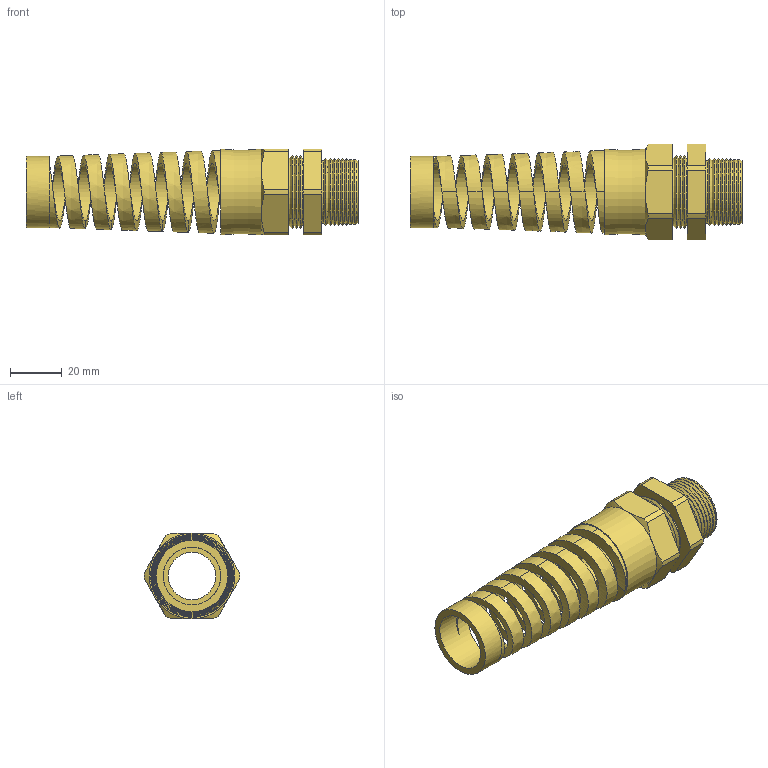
import cadquery as cq
import math


ring_end = 9.0
spiral_end = 75.0
nut_start = 90.7
nut_end = 101.2
locknut_start = 107.0
locknut_length = 7.0
locknut_end = locknut_start + locknut_length
total_length = 128.02

spiral_bore_radius = 11.1
ring_radius = 13.75
spiral_end_radius = 16.0
spiral_pitch = 9.92
slot_width = 4.35
slot_start = 5.2
slot_turns = 8
slot_overlap = 2.0

sleeve_radius = 16.5
sleeve_waist_radius = 16.15
hex_flats = 33.02
hex_corner_diameter = 37.0
nut_chamfer_angle = 30.0

bore_radius = 9.15
thread_pitch = 1.59
inner_crest_radius = 14.1
inner_root_radius = 13.1
inner_first_crest = 102.6
inner_crest_count = 3
inner_taper = 0
outer_crest_radius = 13.0
outer_root_radius = 12.1
outer_first_crest = 115.65
outer_crest_count = 8
outer_taper = 1 / 32


def cylinder(start, end, radius):
    return cq.Workplane("YZ").workplane(offset=start).circle(radius).extrude(end - start)


def revolve(profile):
    """Turn a closed half outline, drawn in the XZ plane, about the X axis."""
    return profile.revolve(360, (0, 0, 0), (1, 0, 0))


def make_spiral():
    """Tapered tube with one continuous helical slot."""
    tube = revolve(
        cq.Workplane("XZ")
        .moveTo(ring_end, spiral_bore_radius)
        .lineTo(ring_end, ring_radius)
        .lineTo(spiral_end, spiral_end_radius)
        .lineTo(spiral_end, spiral_bore_radius)
        .close()
    )
    cutter_inner = spiral_bore_radius - slot_overlap
    cutter_outer = spiral_end_radius + slot_overlap
    mean_radius = (cutter_inner + cutter_outer) / 2
    path = cq.Wire.makeHelix(spiral_pitch, spiral_pitch, mean_radius)
    one_turn = (
        cq.Workplane("XZ")
        .center(mean_radius, 0)
        .rect(cutter_outer - cutter_inner, slot_width)
        .sweep(cq.Workplane(path), isFrenet=True)
        .rotate((0, 0, 0), (0, 1, 0), 90)
    )
    for turn in range(slot_turns):
        tube = tube.cut(one_turn.translate((slot_start + turn * spiral_pitch, 0, 0)))
    return tube


def make_ring():
    return cylinder(0, ring_end, ring_radius).cut(cylinder(0, ring_end, spiral_bore_radius))


def make_sleeve():
    """Round sleeve with a slightly waisted outline."""
    middle = (spiral_end + nut_start) / 2
    return revolve(
        cq.Workplane("XZ")
        .moveTo(spiral_end, 0)
        .lineTo(spiral_end, sleeve_radius)
        .threePointArc((middle, sleeve_waist_radius), (nut_start, sleeve_radius))
        .lineTo(nut_start, 0)
        .close()
    )


def make_hexagon(start, end):
    """Hexagon with flats facing +Z and -Z and its corners turned down to a cylinder."""
    hexagon = (
        cq.Workplane("YZ")
        .workplane(offset=start)
        .polygon(6, hex_flats / math.cos(math.radians(30)))
        .extrude(end - start)
    )
    return hexagon.intersect(cylinder(start, end, hex_corner_diameter / 2))


def make_nut():
    """Hexagon whose corners are chamfered conically towards the sleeve."""
    corner_radius = hex_corner_diameter / 2
    chamfer_length = (corner_radius - sleeve_radius) * math.tan(math.radians(nut_chamfer_angle))
    envelope = revolve(
        cq.Workplane("XZ")
        .moveTo(nut_start, 0)
        .lineTo(nut_start, sleeve_radius)
        .lineTo(nut_start + chamfer_length, corner_radius)
        .lineTo(nut_end, corner_radius)
        .lineTo(nut_end, 0)
        .close()
    )
    return make_hexagon(nut_start, nut_end).intersect(envelope)


def make_thread(start, end, root_radius, crest_radius, first_crest, crest_count, taper):
    """Root cylinder carrying a row of ring-shaped V ridges."""
    half_pitch = thread_pitch / 2
    outline = cq.Workplane("XZ").moveTo(start, 0).lineTo(start, root_radius)
    for index in range(crest_count):
        crest = first_crest + index * thread_pitch
        radius = crest_radius - taper * (crest - first_crest)
        outline = outline.lineTo(crest - half_pitch, root_radius)
        outline = outline.lineTo(crest, radius)
    outline = outline.lineTo(crest + half_pitch, root_radius)
    outline = outline.lineTo(end, root_radius).lineTo(end, 0).close()
    return revolve(outline)


inner_thread = make_thread(
    nut_end, locknut_start, inner_root_radius, inner_crest_radius,
    inner_first_crest, inner_crest_count, inner_taper,
)
outer_thread = make_thread(
    locknut_end, total_length, outer_root_radius, outer_crest_radius,
    outer_first_crest, outer_crest_count, outer_taper,
)
locknut = make_hexagon(locknut_start, locknut_end)

body = make_sleeve().union(make_nut()).union(inner_thread).union(locknut).union(outer_thread)
body = body.cut(cylinder(spiral_end, total_length, bore_radius))

result = make_ring().union(make_spiral()).union(body)